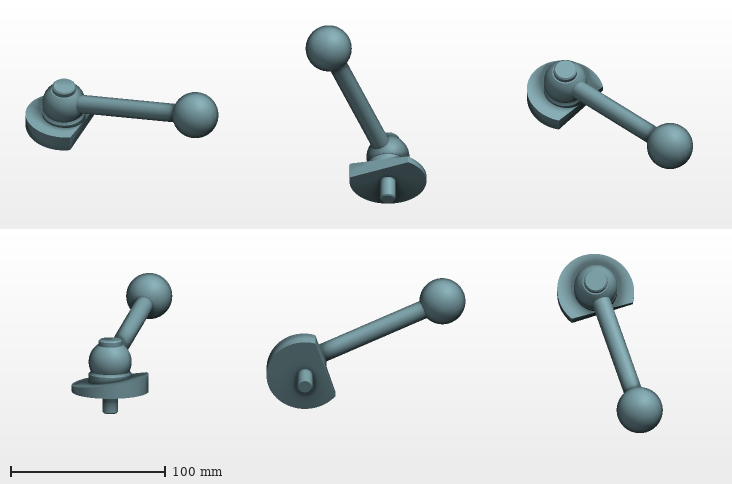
import cadquery as cq
import math

overall_length = 134.0

plate_diameter = 50.0
plate_low_height = 4.0
plate_high_height = 11.7

pin_diameter = 10.0
pin_length = 14.3
pin_chamfer = 0.8

collar_diameter = 28.0
collar_top = 13.3
collar_chamfer = 1.6

hub_diameter = 28.0
hub_center_height = 19.4
hub_top = 30.5

cap_diameter = 15.1
cap_top = 34.3
cap_chamfer = 1.0

rod_diameter = 12.0
rod_angle = 15.0
knob_diameter = 30.0

plate_radius = plate_diameter / 2
flat_x = collar_diameter / 2
knob_x = overall_length - plate_radius - knob_diameter / 2
rod_length = knob_x / math.cos(math.radians(rod_angle))
knob_height = hub_center_height + knob_x * math.tan(math.radians(rod_angle))


def cylinder(diameter, bottom, top):
    return cq.Workplane("XY").workplane(offset=bottom).circle(diameter / 2).extrude(top - bottom)


def cam_plate():
    """Disc with a flat on +X and a top that slopes up towards -Y."""
    disc = cylinder(plate_diameter, 0, plate_high_height)
    wedge = (
        cq.Workplane("YZ")
        .workplane(offset=-plate_radius)
        .polyline([
            (-plate_radius, 0),
            (plate_radius, 0),
            (plate_radius, plate_low_height),
            (-plate_radius, plate_high_height),
        ])
        .close()
        .extrude(plate_radius + flat_x)
    )
    return disc.intersect(wedge)


def pivot_pin():
    return cylinder(pin_diameter, -pin_length, 0).faces("<Z").chamfer(pin_chamfer)


def collar():
    return cylinder(collar_diameter, 0, collar_top).faces(">Z").chamfer(collar_chamfer)


def hub():
    """Ball cut flat where it meets the collar and the cap."""
    ball = cq.Workplane("XY").sphere(hub_diameter / 2).translate((0, 0, hub_center_height))
    return ball.intersect(cylinder(hub_diameter, collar_top, hub_top))


def cap():
    return cylinder(cap_diameter, hub_center_height, cap_top).faces(">Z").chamfer(cap_chamfer)


def handle():
    """Inclined rod from the hub centre to the centre of the knob."""
    rod = (
        cq.Workplane("YZ")
        .circle(rod_diameter / 2)
        .extrude(rod_length)
        .rotate((0, 0, 0), (0, 1, 0), -rod_angle)
        .translate((0, 0, hub_center_height))
    )
    knob = cq.Workplane("XY").sphere(knob_diameter / 2).translate((knob_x, 0, knob_height))
    return rod.union(knob)


result = (
    cam_plate()
    .union(pivot_pin())
    .union(collar())
    .union(hub())
    .union(cap())
    .union(handle())
)